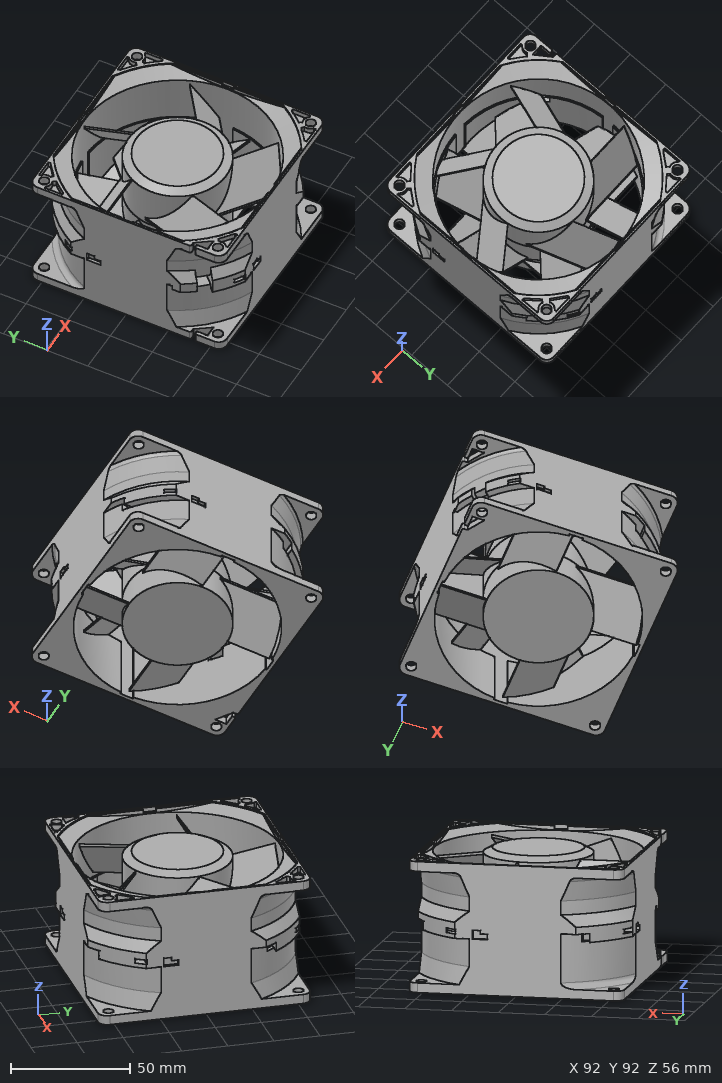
import cadquery as cq
SIDE = 92.0
HEIGHT = 56.0
HALF = SIDE / 2
FLANGE = 4.2
CORNER_R = 4.0
JOINT_Z = 23.9
BIG = 2 * SIDE

UPPER_BORE_R = 44.3
LINER_R = 43.6
LINER_TOP = 31.8
RELIEF_W = 6.0
LIP_R = 52.0
LIP_DEPTH = 1.9
LIP_LAND = 0.5
LAND_HALF = 44.9
CONE_HALF = 44.4
LIP_NOTCH_HALF = 45.4
LIP_NOTCH_W = 5.6

BODY_R = 50.0
BULGE_R = 52.84
BULGE_TOP = 30.8
BULGE_SLOPE_TOP = 35.8
UPPER_FLARE_START = 41.9
UPPER_FLARE_R = 51.6
UPPER_FILLET = 1.5
UPPER_FILLET_SPREAD = 1.0
LOWER_FLARE_START = 12.2
LOWER_FLARE_R = 51.9
LOWER_FILLET = 2.7

HOLE_PITCH = 82.5
HOLE_D = 4.4
HOLE_POS = HOLE_PITCH / 2
PILLAR_R = 3.5
POCKET_DEPTH = 2.5
POCKET_EDGE = 44.8
POCKET_START = 39.2
POCKET_END = 30.9
POCKET_STEP = 43.8
POCKET_TIP = (36.8, 39.1)
POCKET_NECK = (38.2, 40.2)

CABLE_SLOT_Y = (-32.8, -30.9)
CABLE_TRIANGLE = [(-44.2, -31.0), (-43.7, -31.0), (-38.9, -37.9), (-44.2, -37.9)]
CABLE_SLOT_EDGE_R = 0.8
NOTCH_T = (-7.3, -0.7)
WINDOW_TOP = 31.5
WINDOW_BASE = 25.8
WINDOW_INNER_R = 38.0

TAB_TOP = 27.7
CABLE_CORNER = 3
TAB_GAP_R = 48.0
TAB_X = (19.4, 27.7)
TAB_GAP_END = 31.2
CABLE_TAB_X = (19.4, 22.0)
CABLE_LEDGE_END = 32.0
SNAP_X = (-30.2, -25.6)
SNAP_Z = (25.8, 27.7)
SNAP_DEPTH = 6.0
CATCH_X = (-18.4, -11.9)
CATCH_STEP_X = -14.9
CATCH_STEP_Z = 26.2
CATCH_DEPTH = 1.5

BLADE_T = 1.2
BLADE_ROOT = 3.0
HUB_R = 23.2
TIP_R = 43.1

HUB_TOP_R = 19.3
HUB_TOP = 55.2
HUB_SHOULDER = 53.0
INTAKE_BASE = 33.0
INTAKE_BLADES = 5
INTAKE_START = 180.0
INTAKE_OFFSETS = (-22.8, -10.9)
INTAKE_EDGE_Z = (36.0, 52.8)

MIDDLE_BASE = 16.0
MIDDLE_BLADES = 6
MIDDLE_START = 103.4
MIDDLE_OFFSETS = (0.0, 17.0)
MIDDLE_EDGE_Z = (32.0, 18.0)

OUTLET_BASE = 2.0
OUTLET_BLADES = 4
OUTLET_START = 90.0
OUTLET_OFFSETS = (-21.5, -0.8)
OUTLET_EDGE_Z = (15.0, 4.0)


def block(x, y, z):
    """Box given by its (low, high) limits on each axis."""
    return (
        cq.Workplane("XY")
        .box(x[1] - x[0], y[1] - y[0], z[1] - z[0], centered=False)
        .translate((x[0], y[0], z[0]))
    )


def centred_block(half, z):
    return block((-half, half), (-half, half), z)


def cylinder(radius, z):
    return cq.Workplane("XY").workplane(offset=z[0]).circle(radius).extrude(z[1] - z[0])


def turned(shape, angle):
    return shape.rotate((0, 0, 0), (0, 0, 1), angle)


def around(shape, count=4):
    """The shape and its copies evenly spaced around the fan axis, as a list."""
    return [turned(shape, i * 360.0 / count) for i in range(count)]


def cut_all(body, tools):
    for tool in tools:
        body = body.cut(tool)
    return body


def revolved(profile):
    return profile.close().revolve(360, (0, 0, 0), (0, 1, 0))


def flange(z):
    plate = cq.Workplane("XY").workplane(offset=z).rect(SIDE, SIDE).extrude(FLANGE)
    return plate.edges("|Z").fillet(CORNER_R)


def mounting_holes():
    return (
        cq.Workplane("XY")
        .rect(HOLE_PITCH, HOLE_PITCH, forConstruction=True)
        .vertices()
        .circle(HOLE_D / 2)
        .extrude(HEIGHT)
    )


def flange_pocket():
    """Triangular pocket beside the hole of the (+X, +Y) corner, on its +Y edge."""
    floor = HEIGHT - POCKET_DEPTH
    outline = [
        (POCKET_START, POCKET_EDGE),
        (POCKET_END, POCKET_EDGE),
        (POCKET_END, POCKET_STEP),
        POCKET_TIP,
        POCKET_NECK,
    ]
    pocket = cq.Workplane("XY").workplane(offset=floor).polyline(outline).close().extrude(POCKET_DEPTH)
    pillar = cylinder(PILLAR_R, (floor, HEIGHT)).translate((HOLE_POS, HOLE_POS, 0))
    return pocket.cut(pillar)


def flange_pockets():
    """Two mirrored pockets per corner, except where the cable leaves the frame."""
    pocket = flange_pocket()
    across_diagonal = turned(pocket.mirror("XZ"), 90)
    cable_corner = 2
    other_side = around(across_diagonal)
    this_side = around(pocket)
    del other_side[cable_corner]
    return this_side + other_side


def cable_hole(z):
    """Triangular hole with a slot to the -X edge, through one flange."""
    top = z + FLANGE
    hole = cq.Workplane("XY").workplane(offset=z).polyline(CABLE_TRIANGLE).close().extrude(FLANGE)
    slot = block((-HALF, CABLE_TRIANGLE[1][0]), CABLE_SLOT_Y, (z, top))
    return hole.union(slot)


def round_slot_mouth(body, z):
    for y in CABLE_SLOT_Y:
        mouth_edge = cq.selectors.NearestToPointSelector((-HALF, y, z + FLANGE / 2))
        body = body.edges(mouth_edge).fillet(CABLE_SLOT_EDGE_R)
    return body


def add_flange_and_cable_hole(body, z):
    body = body.union(flange(z)).cut(cable_hole(z))
    return round_slot_mouth(body, z)


def intake_mouth():
    """Shallow step and cone at the mouth of the duct, flattened where they meet the side walls."""
    cone_top = HEIGHT - LIP_LAND
    land = cylinder(LIP_R, (cone_top, HEIGHT)).intersect(centred_block(LAND_HALF, (cone_top, HEIGHT)))
    cone = revolved(
        cq.Workplane("XZ")
        .moveTo(0, cone_top)
        .lineTo(LIP_R, cone_top)
        .lineTo(UPPER_BORE_R, cone_top - LIP_DEPTH)
        .lineTo(0, cone_top - LIP_DEPTH)
    )
    return land.union(cone.intersect(centred_block(CONE_HALF, (0, HEIGHT))))


def lip_notch():
    return block((0, LIP_NOTCH_HALF), (-LIP_NOTCH_W / 2, LIP_NOTCH_W / 2), (HEIGHT - LIP_DEPTH, HEIGHT))


def duct():
    """Space inside the housing: upper bore, and the liner bore with its four relief gaps."""
    liner = (0, LINER_TOP)
    relief = block((-HALF, HALF), (-RELIEF_W / 2, RELIEF_W / 2), liner)
    gaps = cylinder(UPPER_BORE_R, liner).intersect(relief.union(turned(relief, 90)))
    upper = cylinder(UPPER_BORE_R, (LINER_TOP, HEIGHT))
    return cylinder(LINER_R, liner).union(gaps).union(upper)


def outer_zones(radius, blocks):
    """What the blocks hold outside a radius."""
    core = cylinder(radius, (0, HEIGHT))
    return [piece.cut(core) for piece in blocks]


def tab_cuts():
    """Cuts that leave a flush tab beside each bulge; the tab by the cable window is low and long."""
    def side_block(x, top):
        return block(x, (-BIG, 0), (JOINT_Z, top))

    cable_tab = side_block(CABLE_TAB_X, TAB_TOP)
    cable_ledge = side_block((CABLE_TAB_X[0], CABLE_LEDGE_END), WINDOW_BASE)
    tabs = around(side_block(TAB_X, TAB_TOP))[:CABLE_CORNER]
    tabs.append(turned(cable_tab.union(cable_ledge), 90 * CABLE_CORNER))
    gaps = around(side_block((TAB_X[1], TAB_GAP_END), TAB_TOP))[:CABLE_CORNER]
    return outer_zones(BODY_R, tabs) + outer_zones(TAB_GAP_R, gaps)


def snap_slot():
    """Blind slot in the bulge of the (-X, -Y) corner."""
    return block(SNAP_X, (-HALF, SNAP_DEPTH - HALF), SNAP_Z)


def catch_recess():
    """Stepped recess in the flat -Y wall, level with the bulge underside."""
    wall = (-HALF, CATCH_DEPTH - HALF)
    low = block(CATCH_X, wall, (JOINT_Z, CATCH_STEP_Z))
    high = block((CATCH_X[0], CATCH_STEP_X), wall, (JOINT_Z, TAB_TOP))
    return low.union(high)


def cable_window():
    """Notch through the bulge of the (-X, -Y) corner, flush with the body, and a window behind it."""
    def radial_box(z):
        return turned(block((WINDOW_INNER_R, BIG), NOTCH_T, z), 225)

    notch = outer_zones(BODY_R, [radial_box((JOINT_Z, BULGE_SLOPE_TOP))])
    return notch + [radial_box((WINDOW_BASE, WINDOW_TOP))]


def corner_outline(foot):
    """Revolved outline of the corner bodies, standing on the given foot outline."""
    flange_z = HEIGHT - FLANGE
    return revolved(
        foot
        .lineTo(BODY_R, JOINT_Z)
        .lineTo(BULGE_R, JOINT_Z)
        .lineTo(BULGE_R, BULGE_TOP)
        .lineTo(BODY_R, BULGE_SLOPE_TOP)
        .lineTo(BODY_R, UPPER_FLARE_START)
        .lineTo(UPPER_FLARE_R, flange_z - UPPER_FILLET)
        .tangentArcPoint((UPPER_FILLET_SPREAD, UPPER_FILLET))
        .lineTo(0, flange_z)
    )


def shell():
    """Side walls and corner bodies; the (-X, +Y) corner has a rounded foot, the others a cone."""
    base = cq.Workplane("XZ").moveTo(0, FLANGE)
    conical = corner_outline(base.lineTo(LOWER_FLARE_R, FLANGE).lineTo(BODY_R, LOWER_FLARE_START))
    foot_top = FLANGE + LOWER_FILLET
    rounded = corner_outline(
        base
        .lineTo(BODY_R + LOWER_FILLET, FLANGE)
        .radiusArc((BODY_R, foot_top), LOWER_FILLET)
    )
    quarter = block((-HALF, 0), (0, HALF), (FLANGE, HEIGHT))
    square = centred_block(HALF, (FLANGE, HEIGHT))
    return conical.intersect(square).cut(quarter).union(rounded.intersect(quarter))


def make_housing():
    body = shell()
    for z in (0, HEIGHT - FLANGE):
        body = add_flange_and_cable_hole(body, z)
    body = body.cut(mounting_holes()).cut(duct()).cut(intake_mouth())
    body = cut_all(body, around(lip_notch()))
    body = cut_all(body, flange_pockets())
    body = cut_all(body, tab_cuts())
    body = cut_all(body, around(snap_slot()))
    body = cut_all(body, around(catch_recess()))
    return cut_all(body, cable_window())


def blade(offsets, heights, tip):
    """Sloped plate along +X; offsets are its two edges across the blade, heights their levels."""
    section = [
        (offsets[0], heights[0]),
        (offsets[1], heights[1]),
        (offsets[1], heights[1] - BLADE_T),
        (offsets[0], heights[0] - BLADE_T),
    ]
    plate = cq.Workplane("YZ").workplane(offset=BLADE_ROOT).polyline(section).close().extrude(SIDE)
    return plate.intersect(cylinder(tip, (0, HEIGHT)))


def make_wheel(hub, count, start, offsets, heights, tip):
    wheel = hub
    for plate in around(turned(blade(offsets, heights, tip), start), count):
        wheel = wheel.union(plate)
    return wheel


def make_intake_rotor():
    hub = revolved(
        cq.Workplane("XZ")
        .moveTo(0, INTAKE_BASE)
        .lineTo(HUB_R, INTAKE_BASE)
        .lineTo(HUB_R, HUB_SHOULDER)
        .lineTo(HUB_TOP_R, HUB_TOP)
        .lineTo(0, HUB_TOP)
    )
    return make_wheel(hub, INTAKE_BLADES, INTAKE_START, INTAKE_OFFSETS, INTAKE_EDGE_Z, TIP_R)


def make_middle_wheel():
    hub = cylinder(HUB_R, (MIDDLE_BASE, INTAKE_BASE))
    return make_wheel(hub, MIDDLE_BLADES, MIDDLE_START, MIDDLE_OFFSETS, MIDDLE_EDGE_Z, TIP_R)


def make_outlet_wheel():
    """Lowest wheel, whose blades reach the liner bore."""
    hub = cylinder(HUB_R, (OUTLET_BASE, MIDDLE_BASE))
    return make_wheel(hub, OUTLET_BLADES, OUTLET_START, OUTLET_OFFSETS, OUTLET_EDGE_Z, LINER_R)


housing = make_housing()
intake_rotor = make_intake_rotor()
middle_wheel = make_middle_wheel()
outlet_wheel = make_outlet_wheel()

result = cq.Compound.makeCompound(
    [housing.val(), intake_rotor.val(), middle_wheel.val(), outlet_wheel.val()]
)